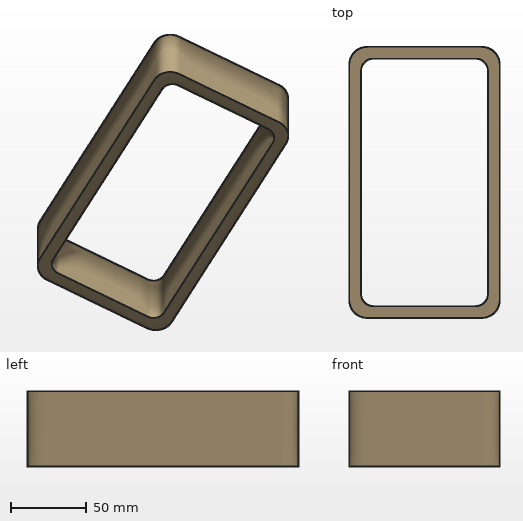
import cadquery as cq

width = 100.0
length = 180.0
height = 50.0
wall = 8.0
outer_radius = 12.0
inner_radius = 8.0


def rounded_block(size_x, size_y, corner_radius):
    """Full-height block centred on the Z axis with rounded vertical edges."""
    block = cq.Workplane("XY").rect(size_x, size_y).extrude(height)
    return block.edges("|Z").fillet(corner_radius)


outer_body = rounded_block(width, length, outer_radius)
opening = rounded_block(width - 2 * wall, length - 2 * wall, inner_radius)

result = outer_body.cut(opening)